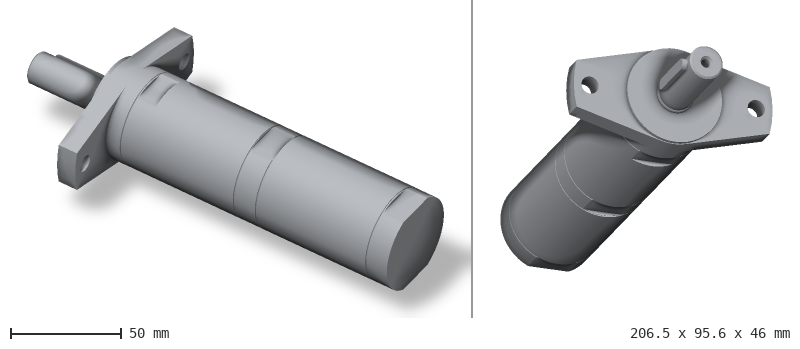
import cadquery as cq
import math

TOTAL_LENGTH = 206.5

SHAFT_DIAMETER = 16.0
SHAFT_TIP_CHAMFER = 0.8
SHAFT_LENGTH = 40.0
COLLAR_DIAMETER = 17.5
COLLAR_TIP_DIAMETER = 17.0
COLLAR_CHAMFER_LENGTH = 0.6

CENTRE_HOLE_DIAMETER = 4.1
CENTRE_HOLE_DEPTH = 8.3
COUNTERSINK_DIAMETER = 6.0
COUNTERSINK_ANGLE = 60
DRILL_POINT_ANGLE = 118

KEY_WIDTH = 5.4
KEY_LENGTH = 30.0
KEY_START = 4.0
KEY_TOP = 10.3
KEY_HEIGHT = 6.2

SPIGOT_DIAMETER = 45.5
SPIGOT_START = 41.7
FLANGE_START = 43.8
FLANGE_THICKNESS = 10.0
FLANGE_SPAN = 95.6
FLANGE_SIDE_ANGLE = 15
BOLT_SPACING = 80.0
BOLT_HOLE_DIAMETER = 8.3

BODY_DIAMETER = 46.0
GROOVE_DIAMETER = 45.0
GROOVE_WIDTH = 0.6
GROOVE_STARTS = (61.1, 122.7, 134.6, 194.7)

FLAT_SPACING = 41.7
FLAT_SPANS = ((61.7, 71.7), (122.9, 135.0), (195.3, TOTAL_LENGTH))


def cylinder(start, length, diameter):
    return cq.Workplane("YZ", origin=(start, 0, 0)).circle(diameter / 2).extrude(length)


def make_shaft():
    """Shaft with chamfered tip and a slightly larger, chamfered collar at its root."""
    tip_radius = SHAFT_DIAMETER / 2 - SHAFT_TIP_CHAMFER
    profile = [
        (0, 0),
        (0, tip_radius),
        (SHAFT_TIP_CHAMFER, SHAFT_DIAMETER / 2),
        (SHAFT_LENGTH, SHAFT_DIAMETER / 2),
        (SHAFT_LENGTH, COLLAR_TIP_DIAMETER / 2),
        (SHAFT_LENGTH + COLLAR_CHAMFER_LENGTH, COLLAR_DIAMETER / 2),
        (FLANGE_START, COLLAR_DIAMETER / 2),
        (FLANGE_START, 0),
    ]
    return cq.Workplane("XY").polyline(profile).close().revolve(360, (0, 0, 0), (1, 0, 0))


def make_centre_hole():
    """Countersunk centre hole with a conical drill point."""
    hole_radius = CENTRE_HOLE_DIAMETER / 2
    mouth_radius = COUNTERSINK_DIAMETER / 2
    countersink_depth = (mouth_radius - hole_radius) / math.tan(math.radians(COUNTERSINK_ANGLE / 2))
    point_length = hole_radius / math.tan(math.radians(DRILL_POINT_ANGLE / 2))
    profile = [
        (0, 0),
        (0, mouth_radius),
        (countersink_depth, hole_radius),
        (CENTRE_HOLE_DEPTH, hole_radius),
        (CENTRE_HOLE_DEPTH + point_length, 0),
    ]
    return cq.Workplane("XY").polyline(profile).close().revolve(360, (0, 0, 0), (1, 0, 0))


def make_key():
    """Round-ended key standing out of the +Y side of the shaft."""
    return (
        cq.Workplane("XZ", origin=(KEY_START + KEY_LENGTH / 2, KEY_TOP, 0))
        .slot2D(KEY_LENGTH, KEY_WIDTH)
        .extrude(KEY_HEIGHT)
    )


def make_flange():
    """Two-bolt flange: sides tangent to the housing, ends rounded about the motor axis."""
    side_angle = math.radians(FLANGE_SIDE_ANGLE)
    body_radius = BODY_DIAMETER / 2
    half_span = FLANGE_SPAN / 2
    tangent_y = body_radius * math.sin(side_angle)
    tangent_z = body_radius * math.cos(side_angle)
    corner_angle = math.acos(body_radius / half_span) + side_angle
    corner_y = half_span * math.sin(corner_angle)
    corner_z = half_span * math.cos(corner_angle)
    return (
        cq.Workplane("YZ", origin=(FLANGE_START, 0, 0))
        .moveTo(-tangent_y, tangent_z)
        .lineTo(tangent_y, tangent_z)
        .lineTo(corner_y, corner_z)
        .threePointArc((half_span, 0), (corner_y, -corner_z))
        .lineTo(tangent_y, -tangent_z)
        .lineTo(-tangent_y, -tangent_z)
        .lineTo(-corner_y, -corner_z)
        .threePointArc((-half_span, 0), (-corner_y, corner_z))
        .close()
        .pushPoints([(-BOLT_SPACING / 2, 0), (BOLT_SPACING / 2, 0)])
        .circle(BOLT_HOLE_DIAMETER / 2)
        .extrude(FLANGE_THICKNESS)
    )


def make_housing():
    """Cylindrical housing with ring grooves and pairs of wrench flats."""
    housing = cylinder(FLANGE_START, TOTAL_LENGTH - FLANGE_START, BODY_DIAMETER)
    for start in GROOVE_STARTS:
        ring_gap = (
            cq.Workplane("YZ", origin=(start, 0, 0))
            .circle(BODY_DIAMETER / 2)
            .circle(GROOVE_DIAMETER / 2)
            .extrude(GROOVE_WIDTH)
        )
        housing = housing.cut(ring_gap)
    for start, end in FLAT_SPANS:
        for side in (1, -1):
            cutter = cq.Workplane("XY").box(end - start, BODY_DIAMETER, BODY_DIAMETER)
            offset = side * (FLAT_SPACING + BODY_DIAMETER) / 2
            housing = housing.cut(cutter.translate(((start + end) / 2, 0, offset)))
    return housing


def make_spigot():
    """Locating spigot in front of the flange."""
    return cylinder(SPIGOT_START, FLANGE_START - SPIGOT_START, SPIGOT_DIAMETER)


result = (
    make_housing()
    .union(make_flange())
    .union(make_spigot())
    .union(make_shaft())
    .union(make_key())
    .cut(make_centre_hole())
)